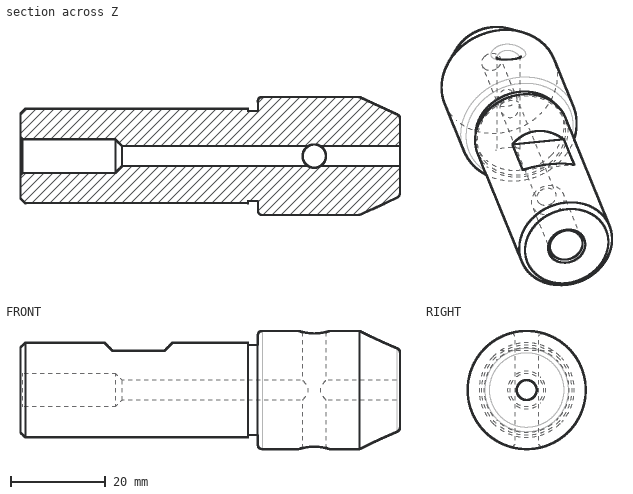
import cadquery as cq

length = 80.0
shank_diameter = 20.0
head_diameter = 25.0
neck_diameter = 19.0
shank_length = 48.0
head_start = 50.0
nose_start = 71.4
nose_tip_diameter = 17.0
shank_chamfer = 1.0
head_fillet = 1.0
nose_fillet = 1.0

flat_height = 8.3
flat_start = 19.4
flat_end = 30.4

bore_diameter = 4.2
entry_diameter = 7.0
entry_depth = 20.0
entry_mouth_diameter = 8.0

cross_hole_x = 61.9
cross_hole_diameter = 4.9
cross_hole_fillet = 1.0


def make_body():
    """Revolve the shank, relief neck, head and tapered nose."""
    shank_radius = shank_diameter / 2
    neck_radius = neck_diameter / 2
    head_radius = head_diameter / 2
    body = (
        cq.Workplane("XY")
        .moveTo(0, 0)
        .lineTo(0, shank_radius - shank_chamfer)
        .lineTo(shank_chamfer, shank_radius)
        .lineTo(shank_length, shank_radius)
        .lineTo(shank_length, neck_radius)
        .lineTo(head_start, neck_radius)
        .lineTo(head_start, head_radius - head_fillet)
        .radiusArc((head_start + head_fillet, head_radius), head_fillet)
        .lineTo(nose_start, head_radius)
        .lineTo(length, nose_tip_diameter / 2)
        .lineTo(length, 0)
        .close()
        .revolve(360, (0, 0, 0), (1, 0, 0))
    )
    return body.faces(">X").edges().fillet(nose_fillet)


def make_flat_cutter():
    """Trapezoidal pocket with 45 degree end walls, running across the shank."""
    rise = shank_diameter / 2 - flat_height + 0.8
    return (
        cq.Workplane("XZ")
        .moveTo(flat_start, flat_height)
        .lineTo(flat_end, flat_height)
        .lineTo(flat_end + rise, flat_height + rise)
        .lineTo(flat_start - rise, flat_height + rise)
        .close()
        .extrude(shank_diameter / 2, both=True)
    )


def make_bore_cutter():
    """Through bore with a chamfered, larger entry ending in a 45 degree cone."""
    bore_radius = bore_diameter / 2
    entry_radius = entry_diameter / 2
    mouth_radius = entry_mouth_diameter / 2
    return (
        cq.Workplane("XY")
        .moveTo(0, 0)
        .lineTo(0, mouth_radius)
        .lineTo(mouth_radius - entry_radius, entry_radius)
        .lineTo(entry_depth, entry_radius)
        .lineTo(entry_depth + entry_radius - bore_radius, bore_radius)
        .lineTo(length, bore_radius)
        .lineTo(length, 0)
        .close()
        .revolve(360, (0, 0, 0), (1, 0, 0))
    )


def add_cross_hole(body):
    """Drill vertically through the head and round both outer rims."""
    drill = (
        cq.Workplane("XY")
        .center(cross_hole_x, 0)
        .circle(cross_hole_diameter / 2)
        .extrude(head_diameter, both=True)
    )
    body = body.cut(drill)
    reach = cross_hole_diameter / 2 + 0.1
    rims = cq.selectors.BoxSelector(
        (cross_hole_x - reach, -reach, -head_diameter),
        (cross_hole_x + reach, reach, head_diameter),
        boundingbox=True,
    )
    return body.edges(rims).edges("not |Z").fillet(cross_hole_fillet)


result = add_cross_hole(make_body()).cut(make_flat_cutter()).cut(make_bore_cutter())